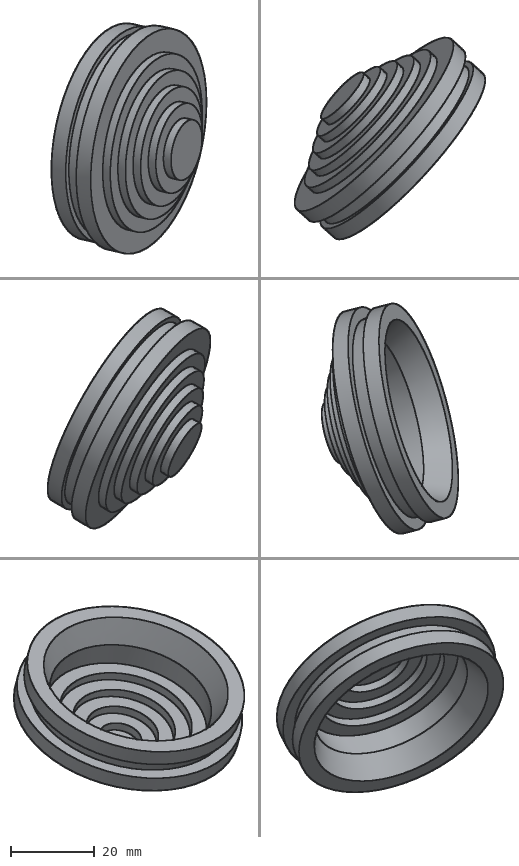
import cadquery as cq

rim_radius = 26.5
rim_width = 4.0
groove_start_radius = 25.0
groove_end_radius = 24.5
groove_width = 3.5
flange_radius = 27.5
flange_width = 4.0

step_count = 5
step_length = 2.102
step_drop = 3.6
first_step_radius = 21.8

mouth_radius = 22.5
mouth_depth = 6.3
main_bore_radius = 19.7
bore_drop = 3.68
first_step_bore_radius = 16.15
bore_draft = 0.1
end_wall = 1.5

groove_start = rim_width
flange_start = groove_start + groove_width
nose_start = flange_start + flange_width
main_bore_end = nose_start + step_length - end_wall


def disc(start, length, radius):
    """Cylinder about the X axis beginning at x = start."""
    return cq.Workplane("YZ", origin=(start, 0, 0)).circle(radius).extrude(length)


def cone(start, length, start_radius, end_radius):
    """Truncated cone about the X axis beginning at x = start."""
    outline = [
        (start, 0),
        (start, start_radius),
        (start + length, end_radius),
        (start + length, 0),
    ]
    return cq.Workplane("XY").polyline(outline).close().revolve(360, (0, 0, 0), (1, 0, 0))


def outer_body():
    body = disc(0, rim_width, rim_radius)
    body = body.union(cone(groove_start, groove_width, groove_start_radius, groove_end_radius))
    body = body.union(disc(flange_start, flange_width, flange_radius))
    for step in range(step_count):
        start = nose_start + step * step_length
        body = body.union(disc(start, step_length, first_step_radius - step * step_drop))
    return body


def cavity():
    space = cone(0, mouth_depth, mouth_radius, main_bore_radius)
    space = space.union(disc(mouth_depth, main_bore_end - mouth_depth, main_bore_radius))
    for step in range(step_count - 1):
        start = main_bore_end + step * step_length
        radius = first_step_bore_radius - step * bore_drop
        space = space.union(cone(start, step_length, radius, radius - bore_draft))
    return space


result = outer_body().cut(cavity())